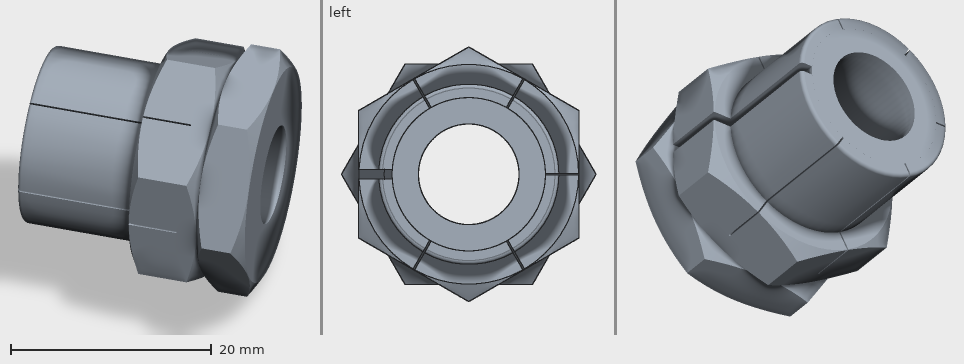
import cadquery as cq
import math


hex_across_corners = 25.4
hex_across_flats = hex_across_corners * math.cos(math.radians(30))
chamfer_inset = 0.05
chamfer_angle = 30.0

sleeve_diameter = 17.95
sleeve_length = 12.01
sleeve_edge_radius = 0.38
head_length = 6.98
slit_count = 6
slit_spacing = 360 / slit_count
thin_slit_width = 0.18
thin_slit_length = 17.0
split_width = 1.0

nut_length = 5.0
nut_start = sleeve_length + head_length
total_length = nut_start + nut_length

bore_diameter = 10.0
tube_diameter = 15.3
tube_shoulder_diameter = 16.87


def cylinder(diameter, start, length):
    """Solid round bar along X."""
    return cq.Workplane("YZ", origin=(start, 0, 0)).circle(diameter / 2).extrude(length)


def chamfered_hexagon(start, length, turn):
    """Hexagonal bar along X with conical chamfers on both ends.

    With no turn, two corners lie on the Y axis.
    """
    corner_radius = hex_across_corners / 2
    face_radius = hex_across_flats / 2 - chamfer_inset
    chamfer_depth = (corner_radius - face_radius) * math.tan(math.radians(chamfer_angle))
    bar = (
        cq.Workplane("YZ", origin=(start, 0, 0))
        .polygon(6, hex_across_corners)
        .extrude(length)
        .rotate((0, 0, 0), (1, 0, 0), turn)
    )
    turned_blank = (
        cq.Workplane("XY")
        .moveTo(start, 0)
        .lineTo(start, face_radius)
        .lineTo(start + chamfer_depth, corner_radius)
        .lineTo(start + length - chamfer_depth, corner_radius)
        .lineTo(start + length, face_radius)
        .lineTo(start + length, 0)
        .close()
        .revolve(360, (0, 0, 0), (1, 0, 0))
    )
    return bar.intersect(turned_blank)


def slit(width, length, angle):
    """Radial cutter from the axis outwards, starting at x = 0; angle 0 points to +Y."""
    return (
        cq.Workplane("XY")
        .box(length, hex_across_corners / 2, width, centered=(False, False, True))
        .rotate((0, 0, 0), (1, 0, 0), angle)
    )


def make_collar():
    """Sleeve and hexagonal head in one piece, with the tube bore and all slits."""
    sleeve = cylinder(sleeve_diameter, 0, sleeve_length).faces("<X").edges().fillet(sleeve_edge_radius)
    head = chamfered_hexagon(sleeve_length, head_length, turn=30)
    collar = sleeve.union(head).cut(cylinder(tube_diameter, 0, nut_start))
    collar = collar.cut(slit(split_width, nut_start, 0))
    for index in range(1, slit_count):
        collar = collar.cut(slit(thin_slit_width, thin_slit_length, index * slit_spacing))
    return collar


def make_nut():
    """Hexagonal nut, turned by half a flat against the collar head."""
    nut = chamfered_hexagon(nut_start, nut_length, turn=0)
    return nut.cut(cylinder(tube_shoulder_diameter, nut_start, nut_length))


def make_tube():
    """Stepped tube that fills the collar bore and the nut bore."""
    tube = cylinder(tube_diameter, 0, nut_start)
    tube = tube.union(cylinder(tube_shoulder_diameter, nut_start, nut_length))
    return tube.cut(cylinder(bore_diameter, 0, total_length))


collar = make_collar()
nut = make_nut()
tube = make_tube()

result = cq.Compound.makeCompound([collar.val(), nut.val(), tube.val()])